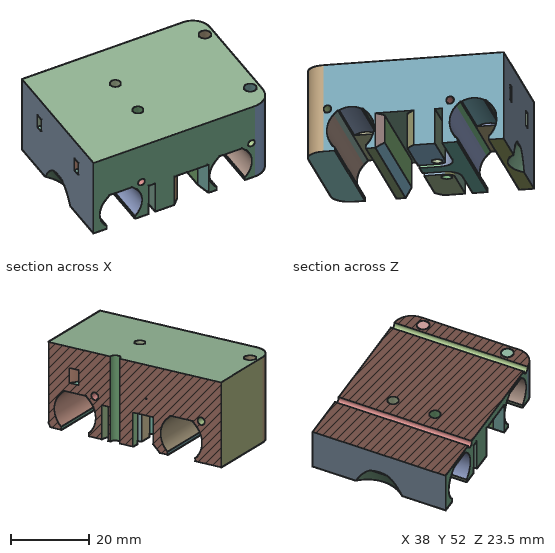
import cadquery as cq
import math

width = 38.0
length = 52.0
height = 23.5
back_corner_radius = 5.0
right = width / 2
left = -right
front = -length / 2

seat_radius = 6.15
seat_axis_z = 5.5
seat_front_y = -18.0
seat_spacing = 32.0
seat_ys = (seat_front_y, seat_front_y + seat_spacing)
seat_opening = 8.15
seat_roof_z = 10.9
round_roof_depth = width / 2

cross_hole_diameter = 2.0
cross_hole_offset = 6.0
cross_hole_z = 11.5

clamp_hole_diameter = 2.8
clamp_hole_x = 6.0
clamp_hole_y = -5.95

belt_depth = 9.4
channel_front_y = -0.45
channel_back_y = 5.45
lead_in = 2.05
turn_outer_radius = 4.0
turn_inner_radius = 2.15

back_hole_diameter = 3.2
back_hole_x = 12.0
back_hole_y = 23.45
back_hole_depth = height / 2

tie_outer_radius = 10.85
tie_inner_radius = 8.8
tie_bottom_z = 13.55
tie_height = 4.0

relief_radius = 10.0
relief_top_z = 5.95
relief_slope = 65.0
relief_half_length = 20.8


def make_block():
    block = cq.Workplane("XY").box(width, length, height, centered=(True, True, False))
    return block.edges("|Z and >Y").fillet(back_corner_radius)


def make_seat(y):
    """Bore with a flat-topped 45 degree roof, fully round over its first part from -X."""
    tangent = seat_radius * math.sqrt(0.5)
    roof_rise = seat_roof_z - seat_axis_z
    roof_half_width = 2 * tangent - roof_rise
    plane = cq.Workplane("YZ", origin=(left, y, seat_axis_z))
    roofed_bore = (
        plane.moveTo(-tangent, tangent)
        .threePointArc((0, -seat_radius), (tangent, tangent))
        .lineTo(roof_half_width, roof_rise)
        .lineTo(-roof_half_width, roof_rise)
        .close()
        .extrude(width)
    )
    round_bore = plane.circle(seat_radius).extrude(round_roof_depth)
    opening = cq.Workplane("XY", origin=(0, y, 0)).rect(width, seat_opening).extrude(seat_axis_z)
    return roofed_bore.union(round_bore).union(opening)


def make_cross_hole(seat_y):
    plane = cq.Workplane("YZ", origin=(left, seat_y + cross_hole_offset, cross_hole_z))
    return plane.circle(cross_hole_diameter / 2).extrude(width)


def make_belt_channel():
    """Channel along X, flared at both ends and along its lower back edge."""
    inner_x = right - lead_in
    channel = (
        cq.Workplane("XY")
        .polyline([
            (left, channel_front_y - lead_in),
            (-inner_x, channel_front_y),
            (inner_x, channel_front_y),
            (right, channel_front_y - lead_in),
            (right, channel_back_y + lead_in),
            (inner_x, channel_back_y),
            (-inner_x, channel_back_y),
            (left, channel_back_y + lead_in),
        ])
        .close()
        .extrude(belt_depth)
    )
    lower_flare = (
        cq.Workplane("YZ", origin=(left, 0, 0))
        .polyline([(channel_back_y, 0), (channel_back_y + lead_in, 0), (channel_back_y, lead_in)])
        .close()
        .extrude(width)
    )
    return channel.union(lower_flare)


def make_belt_return():
    """Slot from the -X side that turns around the clamp screw into the belt channel."""
    diagonal = math.sqrt(0.5)
    x = -clamp_hole_x
    y = clamp_hole_y
    return (
        cq.Workplane("XY")
        .moveTo(left, y - turn_outer_radius)
        .lineTo(x, y - turn_outer_radius)
        .threePointArc(
            (x + turn_outer_radius * diagonal, y - turn_outer_radius * diagonal),
            (x + turn_outer_radius, y),
        )
        .lineTo(x + turn_outer_radius, channel_front_y)
        .lineTo(x + turn_inner_radius, channel_front_y)
        .lineTo(x + turn_inner_radius, y)
        .threePointArc(
            (x + turn_inner_radius * diagonal, y - turn_inner_radius * diagonal),
            (x, y - turn_inner_radius),
        )
        .lineTo(left, y - turn_inner_radius)
        .close()
        .extrude(belt_depth)
    )


def make_clamp_holes():
    points = [(-clamp_hole_x, clamp_hole_y), (clamp_hole_x, clamp_hole_y)]
    return cq.Workplane("XY").pushPoints(points).circle(clamp_hole_diameter / 2).extrude(height)


def make_back_holes():
    points = [(-back_hole_x, back_hole_y), (back_hole_x, back_hole_y)]
    top = cq.Workplane("XY", origin=(0, 0, height))
    return top.pushPoints(points).circle(back_hole_diameter / 2).extrude(-back_hole_depth)


def make_tie_slot():
    plane = cq.Workplane("XY", origin=(0, front, tie_bottom_z))
    return plane.circle(tie_outer_radius).circle(tie_inner_radius).extrude(tie_height)


def make_front_relief():
    """Cylinder sloping steeply down towards +Y, topping out on the front face at relief_top_z."""
    slope = math.radians(relief_slope)
    axis_z = relief_top_z - relief_radius / math.cos(slope)
    plane = cq.Plane(
        origin=(0, front, axis_z),
        xDir=(1, 0, 0),
        normal=(0, math.cos(slope), -math.sin(slope)),
    )
    return cq.Workplane(plane).circle(relief_radius).extrude(relief_half_length, both=True)


result = make_block()
for seat_y in seat_ys:
    result = result.cut(make_seat(seat_y)).cut(make_cross_hole(seat_y))

belt_return = make_belt_return()
result = result.cut(make_belt_channel())
result = result.cut(belt_return).cut(belt_return.mirror("YZ"))
result = result.cut(make_clamp_holes())
result = result.cut(make_back_holes())
result = result.cut(make_tie_slot())
result = result.cut(make_front_relief())